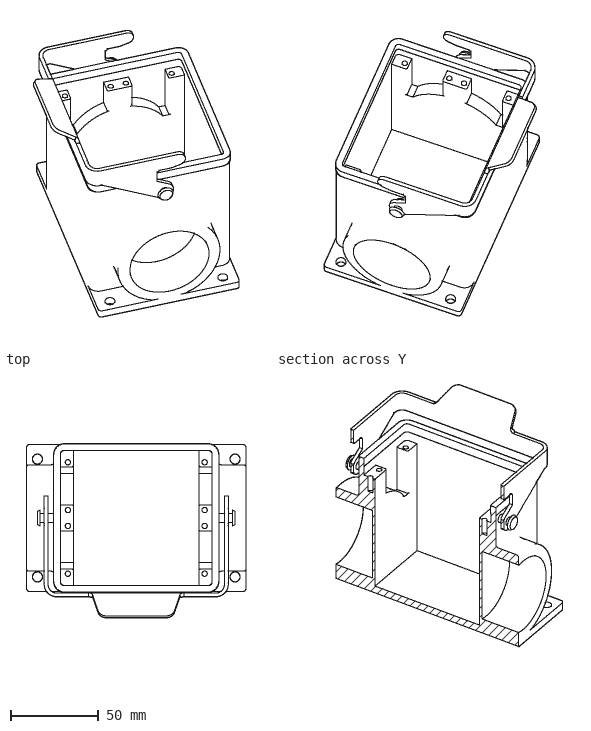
import cadquery as cq
import math

PLATE_LENGTH = 125.0
PLATE_WIDTH = 83.8
PLATE_HEIGHT = 5.0
PLATE_CORNER = 2.0
MOUNT_HOLE_D = 5.6
MOUNT_HOLE_X = 56.2
MOUNT_HOLE_Y = 33.5

WALL_LENGTH = 93.9
RIM_LENGTH = 94.0
BODY_HEIGHT = 90.0
RIM_WIDTH = 84.6
RIM_BOTTOM = 84.4
BODY_CORNER = 6.0
CAVITY_LENGTH = 86.2
CAVITY_WIDTH = 76.6
CAVITY_CORNER = 2.0
CAVITY_STEP = 0.1
FLOOR = PLATE_HEIGHT

ENTRY_Z = 32.95
ENTRY_R = 30.3
ENTRY_BORE_R = 23.5
ENTRY_FILLET = 1.5
BORE_DEPTH = 25.0

BLOCK_INNER_X = 35.6
BLOCK_TOP = 49.5
POST_TOP = 78.5
POST_CORNER = 1.0
CORNER_POST_Y = 29.1
MIDDLE_POST_WIDTH = 14.8
SCREW_HOLE_D = 3.0
SCREW_HOLE_DEPTH = 10.0
SCREW_X = 38.9
SCREW_YS = (-31.7, -4.5, 4.5, 31.7)

SHEET = 2.2
LEVER_HALF_LENGTH = 52.35
LEVER_BACK_Y = -44.85
LEVER_CORNER = 7.0
LEVER_TOP = 106.7
LEVER_BAND_BOTTOM = 95.0
LEVER_ANGLE = 30.0
PIVOT_Z = 80.0
EYE_R = 5.5
NOSE_Y = 8.35
NOSE_R = 4.2
HOOK_Y = 4.1
HOOK_Z = 97.2
THROAT_Y = -4.3
THROAT_FILLET = 1.2

PIN_R = 2.45
HEAD_INNER_X = 54.7
HEAD_OUTER_X = 56.1
HEAD_R = 4.5
HEAD_FACE_R = 3.8

TAB_END_Y = -56.81
TAB_BEND_R = 0.78
TAB_ROOT_HALF = 27.2
TAB_NECK_HALF = 24.7
FLARE_HOLLOW = 0.3
TAB_TAPER = 16.5
TAB_END_CORNER = 5.0

SIDES = (-1, 1)
OVERLAP = 1.0


def block(length, width, bottom, top):
    return cq.Workplane("XY").workplane(offset=bottom).rect(length, width).extrude(top - bottom)


def revolved_on_x(points, z):
    """Solid of revolution about the X-parallel axis at height z, from (x, radius) points."""
    profile = cq.Workplane("XY", origin=(0, 0, z)).polyline(points).close()
    return profile.revolve(360, (0, 0, 0), (1, 0, 0))


def base_plate():
    plate = block(PLATE_LENGTH, PLATE_WIDTH, 0, PLATE_HEIGHT).edges("|Z").fillet(PLATE_CORNER)
    holes = cq.Workplane("XY").rect(2 * MOUNT_HOLE_X, 2 * MOUNT_HOLE_Y, forConstruction=True)
    return plate.cut(holes.vertices().circle(MOUNT_HOLE_D / 2).extrude(PLATE_HEIGHT))


def outer_box():
    """Rounded box of walls and rim, still solid inside."""
    walls = block(WALL_LENGTH, PLATE_WIDTH, 0, RIM_BOTTOM).edges("|Z").fillet(BODY_CORNER)
    rim = block(RIM_LENGTH, RIM_WIDTH, RIM_BOTTOM, BODY_HEIGHT).edges("|Z").fillet(BODY_CORNER)
    return walls.union(rim)


def entry_boss(side):
    """Outer collar of a cable entry, filleted into the end wall and rounded at its mouth."""
    wall_x = WALL_LENGTH / 2
    mouth_x = PLATE_LENGTH / 2
    r = ENTRY_R
    f = ENTRY_FILLET
    bend = f * (1 - math.sqrt(0.5))
    profile = (
        cq.Workplane("XY", origin=(0, 0, ENTRY_Z))
        .moveTo(side * (wall_x - OVERLAP), 0)
        .lineTo(side * (wall_x - OVERLAP), r + f)
        .lineTo(side * wall_x, r + f)
        .threePointArc((side * (wall_x + bend), r + bend), (side * (wall_x + f), r))
        .lineTo(side * (mouth_x - f), r)
        .threePointArc((side * (mouth_x - bend), r - bend), (side * mouth_x, r - f))
        .lineTo(side * mouth_x, 0)
        .close()
    )
    return profile.revolve(360, (0, 0, 0), (1, 0, 0))


def entry_bore(side):
    mouth_x = side * PLATE_LENGTH / 2
    inner_x = side * (PLATE_LENGTH / 2 - BORE_DEPTH)
    return revolved_on_x(
        [(mouth_x, 0), (mouth_x, ENTRY_BORE_R), (inner_x, ENTRY_BORE_R), (inner_x, 0)], ENTRY_Z
    )


def post(side, y_min, y_max, rounded_edges):
    depth = CAVITY_LENGTH / 2 - BLOCK_INNER_X + OVERLAP
    center_x = side * (BLOCK_INNER_X + depth / 2)
    height = POST_TOP - FLOOR
    shape = (
        cq.Workplane("XY", origin=(center_x, (y_min + y_max) / 2, FLOOR + height / 2))
        .box(depth, y_max - y_min, height)
    )
    inner_face = "<X" if side > 0 else ">X"
    return shape.faces(inner_face).edges(rounded_edges).fillet(POST_CORNER)


def end_wall_block(side):
    """Thickened end wall with the arch over the entry, its posts and their screw holes."""
    wall_y = CAVITY_WIDTH / 2 + OVERLAP
    depth = CAVITY_LENGTH / 2 - BLOCK_INNER_X + OVERLAP
    center_x = side * (BLOCK_INNER_X + depth / 2)
    shape = block(depth, 2 * wall_y, FLOOR - OVERLAP, BLOCK_TOP).translate((center_x, 0, 0))
    inner_x = side * BLOCK_INNER_X
    outer_x = side * (BLOCK_INNER_X + depth)
    arch = revolved_on_x([(inner_x, 0), (inner_x, ENTRY_R), (outer_x, ENTRY_R), (outer_x, 0)], ENTRY_Z)
    shape = shape.union(arch)
    shape = shape.union(post(side, CORNER_POST_Y, wall_y, "|Z and <Y"))
    shape = shape.union(post(side, -wall_y, -CORNER_POST_Y, "|Z and >Y"))
    shape = shape.union(post(side, -MIDDLE_POST_WIDTH / 2, MIDDLE_POST_WIDTH / 2, "|Z"))
    screw_holes = (
        cq.Workplane("XY", origin=(0, 0, POST_TOP))
        .pushPoints([(side * SCREW_X, y) for y in SCREW_YS])
        .circle(SCREW_HOLE_D / 2)
        .extrude(-SCREW_HOLE_DEPTH)
    )
    return shape.cut(screw_holes)


def cavity():
    """Inside space of the box, open at the top."""
    mouth = block(CAVITY_LENGTH, CAVITY_WIDTH, RIM_BOTTOM, BODY_HEIGHT)
    mouth = mouth.edges("|Z").fillet(CAVITY_CORNER)
    room = block(CAVITY_LENGTH + 2 * CAVITY_STEP, CAVITY_WIDTH + 2 * CAVITY_STEP, FLOOR, RIM_BOTTOM)
    room = room.edges("|Z").fillet(CAVITY_CORNER + CAVITY_STEP)
    return mouth.union(room)


def housing():
    shape = base_plate().union(outer_box())
    for side in SIDES:
        shape = shape.union(entry_boss(side))
    shape = shape.cut(cavity())
    for side in SIDES:
        shape = shape.union(end_wall_block(side)).cut(entry_bore(side))
    return shape


def lever_side_outline():
    """Side outline of the lever in (y, z): nose, hook, throat, eye and slanted lower edge."""
    slope = math.radians(LEVER_ANGLE)
    upper = (EYE_R * math.sin(slope), PIVOT_Z + EYE_R * math.cos(slope))
    lower = (-EYE_R * math.sin(slope), PIVOT_Z - EYE_R * math.cos(slope))
    throat_bottom = upper[1] + (upper[0] - THROAT_Y) * math.tan(slope)
    band_start_y = lower[0] - (LEVER_BAND_BOTTOM - lower[1]) / math.tan(slope)
    nose_z = LEVER_TOP - NOSE_R
    hook_dy = HOOK_Y - NOSE_Y
    hook_dz = HOOK_Z - nose_z
    tangent_angle = math.atan2(hook_dz, hook_dy) + math.acos(NOSE_R / math.hypot(hook_dy, hook_dz))
    nose_end = (NOSE_Y + NOSE_R * math.cos(tangent_angle), nose_z + NOSE_R * math.sin(tangent_angle))
    return (
        cq.Workplane("YZ", origin=(-LEVER_HALF_LENGTH, 0, 0))
        .moveTo(LEVER_BACK_Y, LEVER_TOP)
        .lineTo(NOSE_Y, LEVER_TOP)
        .threePointArc((NOSE_Y + NOSE_R, nose_z), nose_end)
        .lineTo(HOOK_Y, HOOK_Z)
        .lineTo(THROAT_Y + THROAT_FILLET, HOOK_Z)
        .radiusArc((THROAT_Y, HOOK_Z - THROAT_FILLET), THROAT_FILLET)
        .lineTo(THROAT_Y, throat_bottom)
        .lineTo(*upper)
        .threePointArc((EYE_R * math.cos(slope), PIVOT_Z - EYE_R * math.sin(slope)), lower)
        .lineTo(band_start_y, LEVER_BAND_BOTTOM)
        .lineTo(LEVER_BACK_Y, LEVER_BAND_BOTTOM)
        .close()
    )


def lever_bow():
    """U-shaped bent sheet, trimmed to the side outline."""
    front_y = NOSE_Y + NOSE_R
    depth = front_y - LEVER_BACK_Y
    bottom = PIVOT_Z - EYE_R

    def bow_block(inset):
        width = 2 * (LEVER_HALF_LENGTH - inset)
        shape = block(width, depth, bottom, LEVER_TOP)
        shape = shape.translate((0, LEVER_BACK_Y + depth / 2 + inset, 0))
        return shape.edges("|Z and <Y").fillet(LEVER_CORNER - inset)

    sheet = bow_block(0).cut(bow_block(SHEET))
    return sheet.intersect(lever_side_outline().extrude(2 * LEVER_HALF_LENGTH))


def finger_tab():
    """Tab that bends out of the bow's back and rises at the lever angle, with a tapered outline."""
    slope = math.radians(LEVER_ANGLE)
    outward = (-math.cos(slope), math.sin(slope))
    normal = (math.sin(slope), math.cos(slope))
    bend_center = (LEVER_BACK_Y - TAB_BEND_R, LEVER_TOP)

    def bend_point(radius, angle):
        a = math.radians(angle)
        return (bend_center[0] + radius * math.cos(a), bend_center[1] + radius * math.sin(a))

    turn = 90 - LEVER_ANGLE
    inner_r = TAB_BEND_R
    outer_r = TAB_BEND_R + SHEET
    inner_end = bend_point(inner_r, turn)
    outer_end = bend_point(outer_r, turn)
    flat_length = (outer_end[0] - (TAB_END_Y + SHEET * normal[0])) / -outward[0]

    bend = (
        cq.Workplane("YZ", origin=(-TAB_ROOT_HALF, 0, 0))
        .moveTo(LEVER_BACK_Y, LEVER_TOP - OVERLAP)
        .lineTo(LEVER_BACK_Y, LEVER_TOP)
        .threePointArc(bend_point(inner_r, turn / 2), inner_end)
        .lineTo(*outer_end)
        .threePointArc(bend_point(outer_r, turn / 2), (LEVER_BACK_Y + SHEET, LEVER_TOP))
        .lineTo(LEVER_BACK_Y + SHEET, LEVER_TOP - OVERLAP)
        .close()
        .extrude(2 * TAB_ROOT_HALF)
    )
    neck_z = outer_end[1]
    flare_width = TAB_ROOT_HALF - TAB_NECK_HALF
    flare_mid = (TAB_NECK_HALF + FLARE_HOLLOW * flare_width, (LEVER_TOP + neck_z) / 2)
    root_outline = (
        cq.Workplane("XZ")
        .moveTo(-TAB_ROOT_HALF, LEVER_TOP - OVERLAP)
        .lineTo(-TAB_ROOT_HALF, LEVER_TOP)
        .threePointArc((-flare_mid[0], flare_mid[1]), (-TAB_NECK_HALF, neck_z))
        .lineTo(TAB_NECK_HALF, neck_z)
        .threePointArc(flare_mid, (TAB_ROOT_HALF, LEVER_TOP))
        .lineTo(TAB_ROOT_HALF, LEVER_TOP - OVERLAP)
        .close()
        .extrude(-TAB_END_Y)
    )
    end_half = TAB_NECK_HALF - flat_length * math.tan(math.radians(TAB_TAPER))
    flat_plane = cq.Plane(
        origin=(0, inner_end[0], inner_end[1]), xDir=(-1, 0, 0), normal=(0, normal[0], normal[1])
    )
    flat = (
        cq.Workplane(flat_plane)
        .polyline([
            (-TAB_NECK_HALF, 0),
            (TAB_NECK_HALF, 0),
            (end_half, flat_length),
            (-end_half, flat_length),
        ])
        .close()
        .extrude(SHEET)
    )
    flat = flat.faces("<Y").edges("not |X").fillet(TAB_END_CORNER)
    return bend.intersect(root_outline).union(flat)


def pivot_pin(side):
    wall_x = WALL_LENGTH / 2 - OVERLAP
    points = [
        (wall_x, 0),
        (wall_x, PIN_R),
        (HEAD_INNER_X, PIN_R),
        (HEAD_INNER_X, HEAD_R),
        (HEAD_OUTER_X, HEAD_FACE_R),
        (HEAD_OUTER_X, 0),
    ]
    return revolved_on_x([(side * x, r) for x, r in points], PIVOT_Z)


result = housing().union(lever_bow()).union(finger_tab())
for pin_side in SIDES:
    result = result.union(pivot_pin(pin_side))